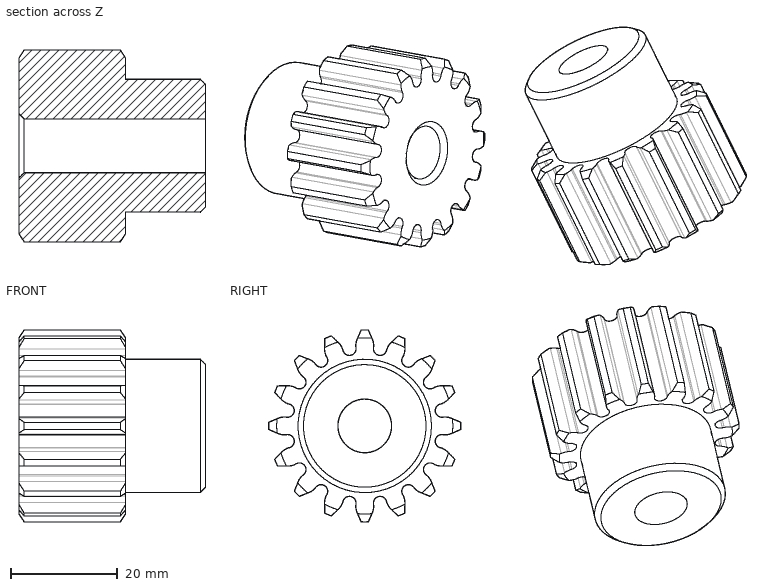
import cadquery as cq
import math

outer_diameter = 36.0
tooth_count = 16
pressure_angle = math.radians(20)
face_width = 20.0
total_length = 35.0
hub_diameter = 25.0
bore_diameter = 10.0
edge_chamfer = 1.0
tip_chamfer_depth = 1.5
dedendum_in_modules = 1.25

tip_half_width = 0.7
relief_half_width = 1.48
relief_height = 16.15

gear_module = outer_diameter / (tooth_count + 2)
tip_radius = outer_diameter / 2
tip_height = math.sqrt(tip_radius**2 - tip_half_width**2)
pitch_radius = gear_module * tooth_count / 2
base_radius = pitch_radius * math.cos(pressure_angle)
root_radius = pitch_radius - dedendum_in_modules * gear_module
tooth_pitch = 2 * math.pi / tooth_count


def involute(angle):
    return math.tan(angle) - angle


def polar(radius, angle):
    """Point at an angle measured from the +Z axis towards +Y."""
    return (radius * math.sin(angle), radius * math.cos(angle))


def involute_point(radius):
    half_angle = base_half_angle - involute(math.acos(base_radius / radius))
    return polar(radius, half_angle)


base_half_angle = tooth_pitch / 4 + involute(pressure_angle)

gap_half_angle = tooth_pitch / 2 - base_half_angle
round_center_radius = root_radius / (1 - math.sin(gap_half_angle))
round_start_radius = round_center_radius * math.cos(gap_half_angle)

tip_corner = (tip_half_width, tip_height)
relief_end = (relief_half_width, relief_height)
flank_middle = involute_point((base_radius + relief_height) / 2)
flank_base = polar(base_radius, base_half_angle)
round_start = polar(round_start_radius, base_half_angle)


def gear_outline():
    outline = cq.Workplane("YZ").moveTo(-round_start[0], round_start[1])
    for tooth in range(tooth_count):
        angle = tooth * tooth_pitch

        def place(point, side):
            """Turn a point of the +Z tooth, on its +Y or -Y side, to the current tooth."""
            across, height = side * point[0], point[1]
            return (
                across * math.cos(angle) + height * math.sin(angle),
                height * math.cos(angle) - across * math.sin(angle),
            )

        outline = (
            outline.lineTo(*place(flank_base, -1))
            .threePointArc(place(flank_middle, -1), place(relief_end, -1))
            .lineTo(*place(tip_corner, -1))
            .threePointArc(polar(tip_radius, angle), place(tip_corner, 1))
            .lineTo(*place(relief_end, 1))
            .threePointArc(place(flank_middle, 1), place(flank_base, 1))
            .lineTo(*place(round_start, 1))
            .threePointArc(
                polar(root_radius, angle + tooth_pitch / 2),
                polar(round_start_radius, angle + tooth_pitch - base_half_angle),
            )
        )
    return outline.close()


def chamfered_blank():
    """Turned blank whose cones bevel both ends of every tooth."""
    end_radius = tip_radius - tip_chamfer_depth
    return (
        cq.Workplane("XY")
        .polyline([
            (0, 0),
            (0, end_radius),
            (edge_chamfer, tip_radius),
            (face_width - edge_chamfer, tip_radius),
            (face_width, end_radius),
            (face_width, 0),
        ])
        .close()
        .revolve(360, (0, 0, 0), (1, 0, 0))
    )


def hub():
    hub_length = total_length - face_width
    return (
        cq.Workplane("YZ", origin=(face_width, 0, 0))
        .circle(hub_diameter / 2)
        .extrude(hub_length)
        .faces(">X")
        .chamfer(edge_chamfer)
    )


def bore():
    """Through hole with a countersunk mouth on the toothed face."""
    bore_radius = bore_diameter / 2
    return (
        cq.Workplane("XY")
        .polyline([
            (0, 0),
            (0, bore_radius + edge_chamfer),
            (edge_chamfer, bore_radius),
            (total_length, bore_radius),
            (total_length, 0),
        ])
        .close()
        .revolve(360, (0, 0, 0), (1, 0, 0))
    )


toothed_ring = gear_outline().extrude(face_width).intersect(chamfered_blank())
result = toothed_ring.union(hub()).cut(bore())